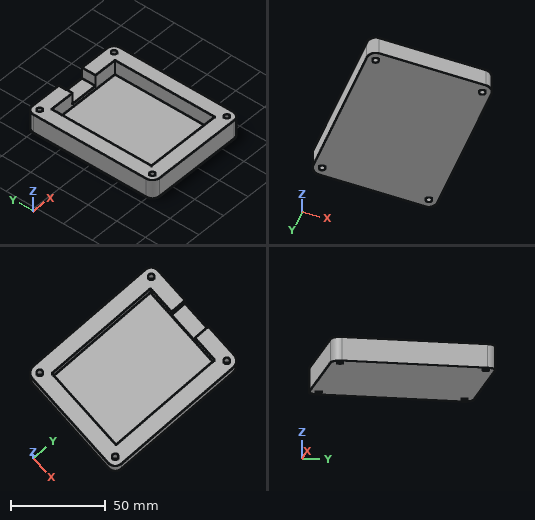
import cadquery as cq

width = 70.6
length = 88.7
height = 13.0
corner_radius = 5.1

wall = 9.6
pocket_depth = 10.0
pocket_width = width - 2 * wall
pocket_length = length - 2 * wall

notch_width = 18.7
notch_center_x = 0.5
notch_depth = 7.5

hole_diameter = 3.4
hole_spacing_x = width - 2 * corner_radius
hole_spacing_y = length - 2 * corner_radius


def make_block():
    block = cq.Workplane("XY").box(width, length, height, centered=(True, True, False))
    return block.edges("|Z").fillet(corner_radius)


def make_pocket():
    return (
        cq.Workplane("XY")
        .workplane(offset=height - pocket_depth)
        .rect(pocket_width, pocket_length)
        .extrude(pocket_depth)
    )


def make_notch():
    return (
        cq.Workplane("XY")
        .workplane(offset=height - notch_depth)
        .center(notch_center_x, (length - wall) / 2)
        .rect(notch_width, wall)
        .extrude(notch_depth)
    )


def make_screw_holes():
    return (
        cq.Workplane("XY")
        .rect(hole_spacing_x, hole_spacing_y, forConstruction=True)
        .vertices()
        .circle(hole_diameter / 2)
        .extrude(height)
    )


result = make_block().cut(make_pocket()).cut(make_notch()).cut(make_screw_holes())